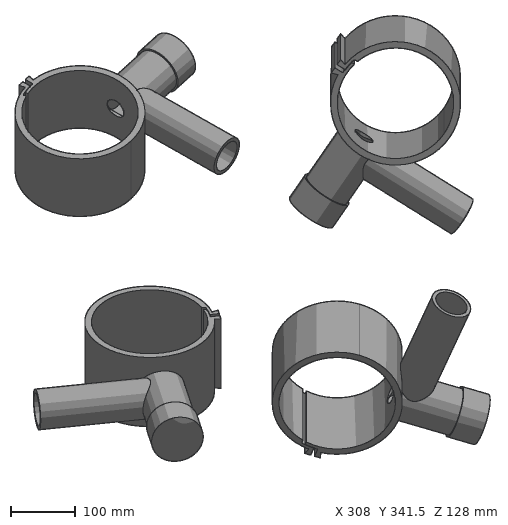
import cadquery as cq
import math

ring_radius = 100.5
wall = 10.5
bore_radius = ring_radius - wall
height = 128.0

lug_reach = 110.0
lug_root_x = 100.7
lug_tip_half_width = 13.0
lug_root_half_width = 10.2
split_half_width = 3.0

pocket_radius = 95.2
tongue_gap = 0.7
tongue_radius = pocket_radius - tongue_gap
tongue_end_y = -18.5
pocket_end_y = -24.5
pocket_corner_radius = 2.5
split_corner_radius = 1.5

pipe_radius = 37.5
cap_radius = 40.5
cap_start_y = 193.2
cap_edge_y = 237.0
dome_top_y = 241.0
port_radius = 16.5

branch_radius = 31.7
branch_wall = 6.0
branch_bore_radius = branch_radius - branch_wall
branch_y = 115.0
branch_end_x = 198.0


def disc(radius):
    """Solid cylinder with the height and axis of the ring."""
    return cq.Workplane("XY", origin=(0, 0, -height / 2)).circle(radius).extrude(height)


def prism(points):
    """Full-height prism on a closed polygon."""
    return cq.Workplane("XY", origin=(0, 0, -height / 2)).polyline(points).close().extrude(height)


def block(x_min, x_max, y_min, y_max):
    """Full-height rectangular block."""
    return prism([(x_min, y_min), (x_max, y_min), (x_max, y_max), (x_min, y_max)])


def x_cylinder(radius, start, end):
    """Cylinder on the branch axis."""
    plane = cq.Workplane("YZ", origin=(start, branch_y, 0))
    return plane.circle(radius).extrude(end - start)


def y_cylinder(radius, start, end):
    """Cylinder on the main pipe axis."""
    return cq.Workplane("XZ", origin=(0, start, 0)).circle(radius).extrude(start - end)


def round_upright_edge(body, x, y, radius):
    """Fillet the vertical edge nearest to (x, y)."""
    nearest = cq.selectors.NearestToPointSelector((x, y, 0))
    return body.edges("|Z").edges(nearest).fillet(radius)


def make_lugs():
    """Both lugs as one block, widening outwards; the split parts them later."""
    return prism([
        (-lug_reach, lug_tip_half_width),
        (-lug_root_x, lug_root_half_width),
        (-bore_radius, lug_root_half_width),
        (-bore_radius, -lug_root_half_width),
        (-lug_root_x, -lug_root_half_width),
        (-lug_reach, -lug_tip_half_width),
    ])


def make_split():
    """Slot between the lugs, gap outside the tongue and pocket past its end."""
    slot = block(-lug_reach, 0, -split_half_width, split_half_width).cut(disc(pocket_radius))
    slot_corner_x = -math.sqrt(pocket_radius**2 - split_half_width**2)
    slot = round_upright_edge(slot, slot_corner_x, split_half_width, split_corner_radius)

    pocket = disc(pocket_radius).intersect(block(-ring_radius, 0, pocket_end_y, -split_half_width))
    pocket_corner_x = -math.sqrt(pocket_radius**2 - pocket_end_y**2)
    pocket = round_upright_edge(pocket, pocket_corner_x, pocket_end_y, pocket_corner_radius)

    tongue = disc(tongue_radius).intersect(block(-ring_radius, 0, tongue_end_y, 0))
    return slot, pocket.cut(tongue)


def make_ring():
    """Split ring with its lugs and tongue."""
    ring = disc(ring_radius).union(make_lugs()).cut(disc(bore_radius))
    for opening in make_split():
        ring = ring.cut(opening)
    return ring


def make_cap():
    """Cap with a shallow spherical end."""
    dome_rise = dome_top_y - cap_edge_y
    dome_radius = (cap_radius**2 + dome_rise**2) / (2 * dome_rise)
    return (
        cq.Workplane("XY")
        .moveTo(0, cap_start_y)
        .lineTo(cap_radius, cap_start_y)
        .lineTo(cap_radius, cap_edge_y)
        .radiusArc((0, dome_top_y), -dome_radius)
        .close()
        .revolve(360, (0, 0, 0), (0, 1, 0))
    )


def make_pipes():
    """Main pipe, cap and branch, ending midway through the ring wall."""
    pipe = y_cylinder(pipe_radius, 0, cap_start_y)
    branch = x_cylinder(branch_radius, 0, branch_end_x)
    return pipe.union(make_cap()).union(branch).cut(disc(bore_radius + wall / 2))


port = y_cylinder(port_radius, 0, branch_y)
branch_bore = x_cylinder(branch_bore_radius, -port_radius, branch_end_x)

result = make_ring().union(make_pipes()).cut(port).cut(branch_bore).clean()